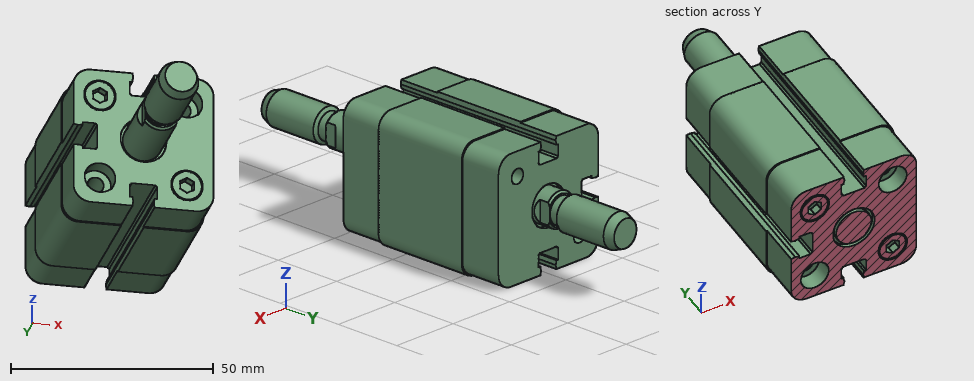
import cadquery as cq
import math

TOTAL_LENGTH = 121.0
FRONT_END = -TOTAL_LENGTH / 2
BACK_END = TOTAL_LENGTH / 2
BODY_FRONT = -19.1
BODY_LENGTH = 53.2
BODY_BACK = BODY_FRONT + BODY_LENGTH
CAP_LENGTH = 12.3

TUBE_SIZE = 36.0
CAP_SIZE = 35.5
CORNER_RADIUS = 4.4

SLOT_MOUTH_WIDTH = 5.7
SLOT_NOSE_WIDTH = 5.2
SLOT_NOSE_DEPTH = 1.5
SLOT_WIDTH = 6.9
SLOT_DEPTH = 6.3
SLOT_LIP_DEPTH = 2.7
SLOT_FLOOR_CHAMFER = 0.5
SLOT_ANGLES = {"top": 0, "left": -90, "bottom": 180}

BOLT_OFFSET = 11.0
OPEN_BOLT_CORNERS = ((-1, -1), (1, 1))
SCREW_CORNERS = ((-1, 1), (1, -1))
BOLT_HOLE_DIAMETER = 4.1
COUNTERBORE_DIAMETER = 7.7
COUNTERBORE_DEPTH = 5.0
SCREW_RECESS_DIAMETER = 8.0
SCREW_HEAD_DIAMETER = 7.5
SCREW_RING_DEPTH = 0.5
SOCKET_ACROSS_FLATS = 3.5
SOCKET_DEPTH = 2.4

ROD_DIAMETER = 10.0
ROD_CLEARANCE_DIAMETER = 11.6
ROD_CLEARANCE_DEPTH = 1.2
THREAD_LENGTH = 16.7
NECK_DIAMETER = 7.9
NECK_LENGTH = 2.7
THREAD_RUNOUT = 0.6
TIP_DIAMETER = 8.0
TIP_LENGTH = 2.7
SHOULDER_CHAMFER = 0.6
FLAT_SPACING = 8.0
FLAT_LENGTH = 3.4


def cylinder(diameter, y_start, length, x=0.0, z=0.0):
    """Cylinder along +Y starting at y_start."""
    return cq.Workplane(cq.Solid.makeCylinder(
        diameter / 2, length, cq.Vector(x, y_start, z), cq.Vector(0, 1, 0)))


def rounded_block(size, y_start, length):
    """Square bar along +Y with rounded long edges."""
    bar = cq.Workplane("XY").box(size, length, size).edges("|Y").fillet(CORNER_RADIUS)
    return bar.translate((0, y_start + length / 2, 0))


def slot_cutter():
    """T-slot open to the +Z side, with a V-shaped nose on each lip."""
    surface = TUBE_SIZE / 2
    floor = surface - SLOT_DEPTH
    lip_back = surface - SLOT_LIP_DEPTH
    lip_nose = surface - SLOT_NOSE_DEPTH
    half_channel = SLOT_WIDTH / 2
    half_mouth = SLOT_MOUTH_WIDTH / 2
    half_nose = SLOT_NOSE_WIDTH / 2
    right_side = [
        (half_channel - SLOT_FLOOR_CHAMFER, floor),
        (half_channel, floor + SLOT_FLOOR_CHAMFER),
        (half_channel, lip_back),
        (half_mouth, lip_back),
        (half_nose, lip_nose),
        (half_mouth, surface),
    ]
    left_side = [(-x, z) for x, z in reversed(right_side)]
    profile = cq.Workplane("XZ", origin=(0, BODY_BACK, 0)).polyline(right_side + left_side).close()
    return profile.extrude(BODY_LENGTH)


def body():
    """Square tube between two slightly smaller end caps, with the T-slots cut."""
    tube = rounded_block(TUBE_SIZE, BODY_FRONT + CAP_LENGTH, BODY_LENGTH - 2 * CAP_LENGTH)
    block = rounded_block(CAP_SIZE, BODY_FRONT, BODY_LENGTH).union(tube)
    for angle in SLOT_ANGLES.values():
        block = block.cut(slot_cutter().rotate((0, 0, 0), (0, 1, 0), angle))
    return block


def open_bolt_hole(x, z):
    """Through hole with a counterbore in the front face."""
    hole = cylinder(BOLT_HOLE_DIAMETER, BODY_FRONT, BODY_LENGTH, x, z)
    return hole.union(cylinder(COUNTERBORE_DIAMETER, BODY_FRONT, COUNTERBORE_DEPTH, x, z))


def screw_outline(x, z):
    """Clearance ring around a flush screw head, plus its hexagon socket."""
    ring = cylinder(SCREW_RECESS_DIAMETER, BODY_FRONT, SCREW_RING_DEPTH, x, z).cut(
        cylinder(SCREW_HEAD_DIAMETER, BODY_FRONT, SCREW_RING_DEPTH, x, z)
    )
    across_corners = SOCKET_ACROSS_FLATS / math.cos(math.pi / 6)
    socket = (
        cq.Workplane("XZ", origin=(0, BODY_FRONT, 0))
        .polygon(6, across_corners)
        .extrude(-SOCKET_DEPTH)
        .rotate((0, 0, 0), (0, 1, 0), 90)
        .translate((x, 0, z))
    )
    return ring.union(socket)


def rod_end(shoulder_length):
    """Rod end along +Y from the origin: plain rod, wrench flats, neck and threaded tip."""
    rod_radius = ROD_DIAMETER / 2
    neck_radius = NECK_DIAMETER / 2
    neck_end = shoulder_length + NECK_LENGTH
    thread_end = neck_end + THREAD_LENGTH
    outline = [
        (0, 0),
        (rod_radius, 0),
        (rod_radius, shoulder_length - SHOULDER_CHAMFER),
        (rod_radius - SHOULDER_CHAMFER, shoulder_length),
        (neck_radius, shoulder_length),
        (neck_radius, neck_end),
        (rod_radius, neck_end + THREAD_RUNOUT),
        (rod_radius, thread_end),
        (TIP_DIAMETER / 2, thread_end + TIP_LENGTH),
        (0, thread_end + TIP_LENGTH),
    ]
    rod = cq.Workplane("XY").polyline(outline).close().revolve(360, (0, 0, 0), (0, 1, 0))

    flat_distance = FLAT_SPACING / 2
    flat_depth = rod_radius - flat_distance
    flat_start = shoulder_length - FLAT_LENGTH
    flat = (
        cq.Workplane("XY", origin=(0, 0, -rod_radius))
        .polyline([
            (flat_distance, shoulder_length),
            (flat_distance, flat_start),
            (rod_radius, flat_start - flat_depth),
            (rod_radius, shoulder_length),
        ])
        .close()
        .extrude(ROD_DIAMETER)
    )
    return rod.cut(flat).cut(flat.mirror("YZ"))


cylinder_body = body()
for x_sign, z_sign in OPEN_BOLT_CORNERS:
    cylinder_body = cylinder_body.cut(open_bolt_hole(x_sign * BOLT_OFFSET, z_sign * BOLT_OFFSET))
for x_sign, z_sign in SCREW_CORNERS:
    cylinder_body = cylinder_body.cut(screw_outline(x_sign * BOLT_OFFSET, z_sign * BOLT_OFFSET))
for recess_start in (BODY_FRONT, BODY_BACK - ROD_CLEARANCE_DEPTH):
    cylinder_body = cylinder_body.cut(
        cylinder(ROD_CLEARANCE_DIAMETER, recess_start, ROD_CLEARANCE_DEPTH)
    )

rod_end_length = NECK_LENGTH + THREAD_LENGTH + TIP_LENGTH
body_middle = (BODY_FRONT + BODY_BACK) / 2
front_rod = rod_end(body_middle - FRONT_END - rod_end_length).mirror("XZ").translate((0, body_middle, 0))
back_rod = rod_end(BACK_END - body_middle - rod_end_length).translate((0, body_middle, 0))

result = cylinder_body.union(front_rod).union(back_rod)